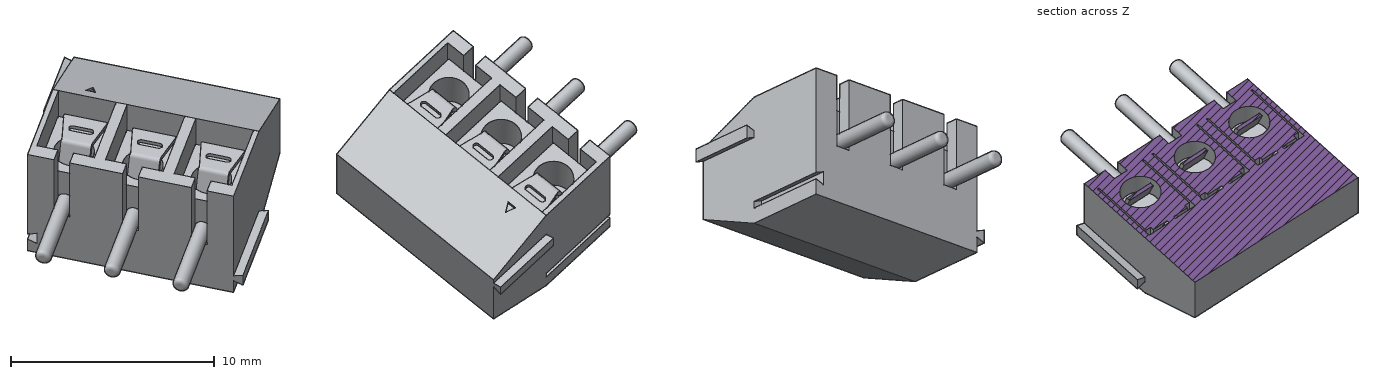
import cadquery as cq
import math


pole_count = 3
pitch = 3.5
body_width = pole_count * pitch
body_height = 6.8
body_depth = 8.4
straight_depth = 4.6
taper_drop = 1.5

front_wall = 0.7
pocket_width = 2.94
floor_z = 3.0
slot_width = 0.8

cage_width = 2.8
cage_top = 5.32
cage_back = 4.28
wire_hole_radius = 1.0
wire_hole_y = 2.2

leaf_thickness = 0.2
leaf_top = cage_top + leaf_thickness
leaf_back = cage_back + leaf_thickness
leaf_bend_radius = 0.25
leaf_wide = 2.2
leaf_narrow = 1.53
leaf_fold_y = 2.74
blade_angle = 70.0
blade_end_y = 1.75
leaf_slot_length = 1.25
leaf_slot_width = 0.34
leaf_slot_y = 3.5

pin_radius = 0.4
pin_length = 3.5
pin_tip_round = 0.2
pin_z = floor_z + pin_radius
screw_radius = 0.77

dovetail_reach = 0.48
dovetail_root = 0.35
dovetail_tip = 0.7
upper_dovetail_z = 4.8
lower_dovetail_z = 1.0

mark_width = 0.5
mark_height = 0.45
mark_base_y = 5.2
mark_depth = 0.15

half_bend = math.sqrt(0.5)

pole_positions = [(i - (pole_count - 1) / 2) * pitch for i in range(pole_count)]


def block(width, x, y_range, z_range):
    """Box centred on x and spanning the given Y and Z ranges."""
    y_start, y_end = y_range
    z_start, z_end = z_range
    return (
        cq.Workplane("XY")
        .box(width, y_end - y_start, z_end - z_start, centered=(True, False, False))
        .translate((x, y_start, z_start))
    )


def extrude_along_y(sketch_points, y_start, y_end):
    """Extrude an XZ polygon from y_start to y_end."""
    return (
        cq.Workplane("XZ", origin=(0, y_start, 0))
        .polyline(sketch_points)
        .close()
        .extrude(y_start - y_end)
    )


def make_housing():
    profile = [
        (0, 0),
        (straight_depth, 0),
        (body_depth, taper_drop),
        (body_depth, body_height - taper_drop),
        (straight_depth, body_height),
        (0, body_height),
    ]
    return cq.Workplane("YZ").polyline(profile).close().extrude(body_width / 2, both=True)


def make_dovetail(x_root, direction, z, y_start, y_end):
    """Dovetail prism widening from x_root in the given X direction."""
    x_tip = x_root + direction * dovetail_reach
    section = [
        (x_root, z - dovetail_root / 2),
        (x_tip, z - dovetail_tip / 2),
        (x_tip, z + dovetail_tip / 2),
        (x_root, z + dovetail_root / 2),
    ]
    return extrude_along_y(section, y_start, y_end)


def make_pole_opening(x):
    pocket = block(pocket_width, x, (front_wall, straight_depth), (floor_z, body_height))
    slot = block(slot_width, x, (0, front_wall), (floor_z, body_height))
    return pocket.union(slot)


def make_cage(x):
    cage = block(cage_width, x, (front_wall, cage_back), (floor_z, cage_top))
    wire_hole = (
        cq.Workplane("XY", origin=(x, wire_hole_y, floor_z))
        .circle(wire_hole_radius)
        .extrude(cage_top - floor_z)
    )
    return cage.cut(wire_hole)


def make_leaf(x):
    """Sheet rising behind the cage, lying on its top and turning down into the wire hole."""
    slope = math.radians(blade_angle)
    bend_centre_z = leaf_top - leaf_bend_radius
    blade_start_y = leaf_fold_y - leaf_bend_radius * math.sin(slope)
    blade_start_z = bend_centre_z + leaf_bend_radius * math.cos(slope)
    blade_end_z = blade_start_z - (blade_start_y - blade_end_y) * math.tan(slope)
    blade_mid_y = leaf_fold_y - leaf_bend_radius * math.sin(slope / 2)
    blade_mid_z = bend_centre_z + leaf_bend_radius * math.cos(slope / 2)
    back_mid = leaf_bend_radius * half_bend
    back_bend_y = leaf_back - leaf_bend_radius
    under_end_y = blade_end_y + leaf_thickness * math.sin(slope)
    under_end_z = blade_end_z - leaf_thickness * math.cos(slope)
    sheet = (
        cq.Workplane("YZ")
        .moveTo(leaf_back, floor_z)
        .lineTo(leaf_back, bend_centre_z)
        .threePointArc((back_bend_y + back_mid, bend_centre_z + back_mid), (back_bend_y, leaf_top))
        .lineTo(leaf_fold_y, leaf_top)
        .threePointArc((blade_mid_y, blade_mid_z), (blade_start_y, blade_start_z))
        .lineTo(blade_end_y, blade_end_z)
        .lineTo(under_end_y, under_end_z)
        .lineTo(leaf_fold_y, cage_top)
        .lineTo(cage_back, cage_top)
        .lineTo(cage_back, floor_z)
        .close()
        .extrude(leaf_wide / 2, both=True)
    )
    plan = (
        cq.Workplane("XY")
        .polyline([
            (-leaf_wide / 2, leaf_back),
            (-leaf_wide / 2, back_bend_y),
            (-leaf_narrow / 2, leaf_fold_y),
            (-leaf_narrow / 2, blade_end_y),
            (leaf_narrow / 2, blade_end_y),
            (leaf_narrow / 2, leaf_fold_y),
            (leaf_wide / 2, back_bend_y),
            (leaf_wide / 2, leaf_back),
        ])
        .close()
        .extrude(body_height)
    )
    finger_slot = (
        cq.Workplane("XY", origin=(0, leaf_slot_y, cage_top))
        .slot2D(leaf_slot_length, leaf_slot_width)
        .extrude(leaf_thickness)
    )
    return sheet.intersect(plan).cut(finger_slot).translate((x, 0, 0))


def make_screw(x):
    """Length of screw shank showing between the leaf and the back of the pocket."""
    return (
        cq.Workplane("XZ", origin=(x, cage_back, pin_z))
        .circle(screw_radius)
        .extrude(cage_back - straight_depth)
    )


def make_pin(x):
    """Round-tipped pin, revolved about its own axis, rooted in the cage front."""
    round_mid = pin_tip_round * half_bend
    tip_flat = pin_radius - pin_tip_round
    round_start = -pin_length + pin_tip_round
    return (
        cq.Workplane("YZ", origin=(x, 0, pin_z))
        .moveTo(front_wall, 0)
        .lineTo(front_wall, pin_radius)
        .lineTo(round_start, pin_radius)
        .threePointArc((round_start - round_mid, tip_flat + round_mid), (-pin_length, tip_flat))
        .lineTo(-pin_length, 0)
        .close()
        .revolve(360, (0, 0, 0), (1, 0, 0))
    )


def make_pole_mark():
    """Triangular prism reaching mark_depth below the sloping roof at the first pole."""
    roof_fall = taper_drop / (body_depth - straight_depth)
    base_z = body_height - (mark_base_y - straight_depth) * roof_fall
    tip_y = mark_base_y + mark_height
    x = pole_positions[0]
    prism = (
        cq.Workplane("XY")
        .polyline([(x - mark_width / 2, mark_base_y), (x + mark_width / 2, mark_base_y), (x, tip_y)])
        .close()
        .extrude(body_height)
    )
    roof_layer = (
        cq.Workplane("YZ", origin=(x, 0, 0))
        .polyline([
            (mark_base_y, base_z - mark_depth),
            (tip_y, base_z - mark_height * roof_fall - mark_depth),
            (tip_y, body_height),
            (mark_base_y, body_height),
        ])
        .close()
        .extrude(mark_width, both=True)
    )
    return prism.intersect(roof_layer)


left_side = -body_width / 2
right_side = body_width / 2

housing = make_housing()
housing = housing.union(make_dovetail(left_side, -1, upper_dovetail_z, straight_depth, body_depth))
housing = housing.union(make_dovetail(right_side, 1, lower_dovetail_z, 0, straight_depth))
housing = housing.cut(make_dovetail(left_side, 1, lower_dovetail_z, 0, straight_depth))
housing = housing.cut(make_pole_mark())

for pole_x in pole_positions:
    housing = housing.cut(make_pole_opening(pole_x))
    for metal_part in (make_cage, make_leaf, make_screw, make_pin):
        housing = housing.union(metal_part(pole_x))

result = housing